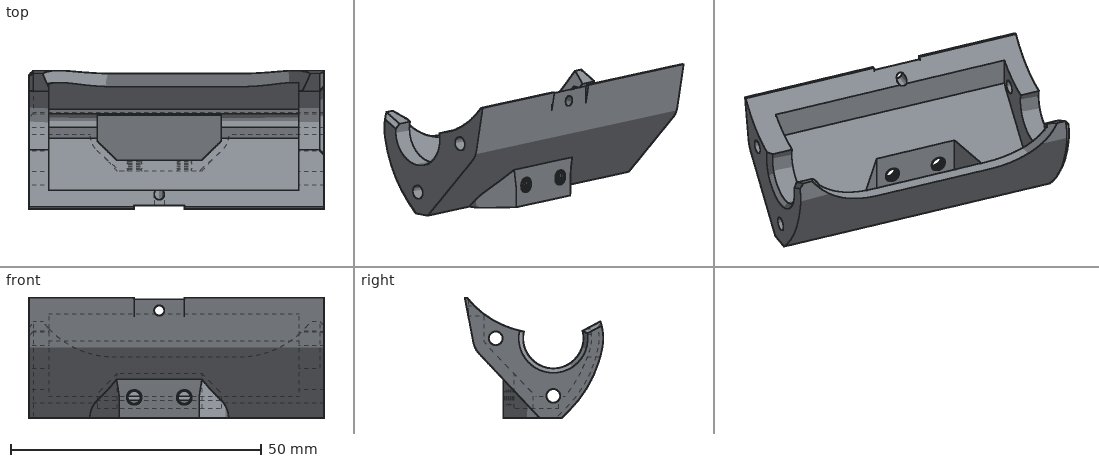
import cadquery as cq
import math


LENGTH = 59.0
HALF_LENGTH = LENGTH / 2
BOTTOM_Z = -15.95
TOP_Z = BOTTOM_Z + 24.08
BORE_RADIUS = 6.0
END_CHAMFER = 0.9
MARGIN = 1.0

BACK_UPPER_RADIUS = 10.0
BACK_LOWER_RADIUS = 24.0
BACK_TOP_ANGLE = 19.8
BACK_JOINT_ANGLE = -10.4
BACK_KNEE_ANGLE = -45.0
BACK_WALL = 2.4
BOTTOM_FRONT = (-2.7, BOTTOM_Z)
FRONT_KNEE = (-15.75, -2.1)
FRONT_KNEE_RADIUS = 4.5
FRONT_TIP = (-17.71, TOP_Z)
SADDLE_START = (-17.25, TOP_Z)
SADDLE_MID = (-12.3, 3.8)
SADDLE_END = (-5.8, 1.35)
BACK_TOP_INNER = (5.8, 1.47)

LEFT_WALL = 4.0
RIGHT_WALL = 5.1
FLOOR_Z = -11.6
FLOOR_FRONT_Y = -3.5
FLOOR_BACK_Y = 2.3
CAVITY_BACK_JOINT_ANGLE = -17.0
CAVITY_FRONT_KNEE = (-13.2, -1.5)
CAVITY_FRONT_WALL = (-13.94, -0.5)
CAVITY_TOP_Z = 6.0

RIM_Z = -3.7
RIM_FLAT_LENGTH = 25.0
RIM_END_X = 26.75
RIM_CUT_START_Y = 3.0

ROD_HOLE_DIAMETER = 2.7
ROD_HOLE_OFFSET = 11.5

FITTING_X = -3.45
BLOCK_FRONT_Y = -10.0
BLOCK_SPLIT_Z = -11.85
BLOCK_TOP_Z = -8.0
BLOCK_BACK_HALF = 13.85
BLOCK_ROUND_START_Y = -3.1
BLOCK_ROUND_MID = (13.45, -4.6)
BLOCK_SHOULDER = (12.5, -5.95)
BLOCK_FRONT_HALF = 7.95
BLOCK_FRONT_HALF_TOP = 8.55

POCKET_HALF = 12.4
POCKET_FRONT_HALF = 8.5
POCKET_BACK_Y = 1.02
POCKET_SHOULDER_Y = -4.1
POCKET_FRONT_Y = -7.9
POCKET_FLOOR_Z = -14.0
POCKET_TOP_Z = -6.5

SCREW_SPACING = 10.0
SCREW_Z = -11.8
SCREW_MINOR_DIAMETER = 2.52
SCREW_MAJOR_DIAMETER = 3.0
SCREW_PITCH = 0.5
SCREW_TURNS = 4

NOTCH_WIDTH = 10.0
NOTCH_FACE_Y = -17.0
NOTCH_BOTTOM_Z = 4.0
PIN_DIAMETER = 2.0
PIN_Z = 5.55
PIN_LENGTH = 6.0


def polar(radius, angle, centre=(0, 0)):
    """Point at a radius and an angle in degrees around a centre."""
    turn = math.radians(angle)
    return (centre[0] + radius * math.cos(turn), centre[1] + radius * math.sin(turn))


BACK_LOWER_CENTRE = polar(BACK_UPPER_RADIUS - BACK_LOWER_RADIUS, BACK_JOINT_ANGLE)
BACK_TOP = polar(BACK_UPPER_RADIUS, BACK_TOP_ANGLE)
BACK_UPPER_MID = polar(BACK_UPPER_RADIUS, (BACK_TOP_ANGLE + BACK_JOINT_ANGLE) / 2)
BACK_JOINT = polar(BACK_UPPER_RADIUS, BACK_JOINT_ANGLE)
BACK_KNEE = polar(BACK_LOWER_RADIUS, BACK_KNEE_ANGLE, BACK_LOWER_CENTRE)
BOTTOM_BACK = (BACK_KNEE[0] - (BACK_KNEE[1] - BOTTOM_Z), BOTTOM_Z)


def extrude_section(section, x_start, x_end):
    """Extrude a closed (y, z) section along X."""
    return section.close().extrude(x_end - x_start).translate((x_start, 0, 0))


def rod(y, z, diameter):
    """Full-length cylinder parallel to X."""
    return cq.Workplane("YZ").center(y, z).circle(diameter / 2).extrude(HALF_LENGTH + MARGIN, both=True)


def make_body():
    section = (
        cq.Workplane("YZ")
        .moveTo(*BACK_TOP)
        .threePointArc(BACK_UPPER_MID, BACK_JOINT)
        .tangentArcPoint(BACK_KNEE, relative=False)
        .lineTo(*BOTTOM_BACK)
        .lineTo(*BOTTOM_FRONT)
        .lineTo(*FRONT_KNEE)
        .lineTo(*FRONT_TIP)
        .lineTo(*SADDLE_START)
        .threePointArc(SADDLE_MID, SADDLE_END)
        .lineTo(*BACK_TOP_INNER)
    )
    body = extrude_section(section, -HALF_LENGTH, HALF_LENGTH)
    knee_edge = cq.selectors.NearestToPointSelector((0, *FRONT_KNEE))
    body = body.edges(knee_edge).fillet(FRONT_KNEE_RADIUS)
    return body.cut(rod(0, 0, 2 * BORE_RADIUS))


def chamfer_ends(body):
    back_outline = cq.selectors.BoxSelector(
        (-HALF_LENGTH - MARGIN, BOTTOM_BACK[0] + MARGIN, BOTTOM_Z),
        (-HALF_LENGTH + MARGIN, BACK_TOP[0] + MARGIN, TOP_Z),
    )
    bore_and_wall_top = cq.selectors.BoxSelector(
        (HALF_LENGTH - MARGIN, -MARGIN, -BORE_RADIUS),
        (HALF_LENGTH + MARGIN, BACK_TOP[0], BACK_TOP[1]),
    )
    body = body.faces("<X").edges(back_outline).chamfer(END_CHAMFER)
    return body.faces(">X").edges(bore_and_wall_top).chamfer(END_CHAMFER)


def make_cavity():
    back_radius = BACK_UPPER_RADIUS - BACK_WALL
    back_mid_angle = (BACK_TOP_ANGLE + CAVITY_BACK_JOINT_ANGLE) / 2
    section = (
        cq.Workplane("YZ")
        .moveTo(*polar(back_radius, BACK_TOP_ANGLE))
        .threePointArc(polar(back_radius, back_mid_angle), polar(back_radius, CAVITY_BACK_JOINT_ANGLE))
        .tangentArcPoint((FLOOR_BACK_Y, FLOOR_Z), relative=False)
        .lineTo(FLOOR_FRONT_Y, FLOOR_Z)
        .lineTo(*CAVITY_FRONT_KNEE)
        .lineTo(*CAVITY_FRONT_WALL)
        .lineTo(CAVITY_FRONT_WALL[0], CAVITY_TOP_Z)
        .lineTo(BACK_TOP_INNER[0], CAVITY_TOP_Z)
        .lineTo(*BACK_TOP_INNER)
    )
    return extrude_section(section, -HALF_LENGTH + LEFT_WALL, HALF_LENGTH - RIGHT_WALL)


def make_rim_cut():
    """Space above the lowered rim: a flat stretch curving up tangentially to both ends."""
    flat_half = RIM_FLAT_LENGTH / 2
    depth = BACK_TOP[1] - RIM_Z
    outline = (
        cq.Workplane("XZ")
        .moveTo(-flat_half, RIM_Z)
        .lineTo(flat_half, RIM_Z)
        .tangentArcPoint((RIM_END_X, BACK_TOP[1]), relative=False)
        .lineTo(RIM_END_X, BACK_TOP[1] + depth)
        .lineTo(-RIM_END_X, BACK_TOP[1] + depth)
        .lineTo(-RIM_END_X, BACK_TOP[1])
    )
    run = RIM_END_X - flat_half
    radius = (run**2 + depth**2) / (2 * depth)
    return (
        outline.radiusArc((-flat_half, RIM_Z), -radius)
        .close()
        .extrude(-BACK_UPPER_RADIUS)
        .translate((0, RIM_CUT_START_Y, 0))
    )


def block_outline(workplane, front_half):
    """Plan of the screw block, with rounded sides and slanted front corners."""
    shoulder_x, shoulder_y = BLOCK_SHOULDER
    round_x, round_y = BLOCK_ROUND_MID
    return (
        workplane.moveTo(-BLOCK_BACK_HALF, 0)
        .lineTo(-BLOCK_BACK_HALF, BLOCK_ROUND_START_Y)
        .threePointArc((-round_x, round_y), (-shoulder_x, shoulder_y))
        .lineTo(-front_half, BLOCK_FRONT_Y)
        .lineTo(front_half, BLOCK_FRONT_Y)
        .lineTo(shoulder_x, shoulder_y)
        .threePointArc((round_x, round_y), (BLOCK_BACK_HALF, BLOCK_ROUND_START_Y))
        .lineTo(BLOCK_BACK_HALF, 0)
        .close()
    )


def make_block():
    lower = block_outline(cq.Workplane("XY", origin=(FITTING_X, 0, BOTTOM_Z)), BLOCK_FRONT_HALF)
    lower = lower.extrude(BLOCK_SPLIT_Z - BOTTOM_Z)
    upper = block_outline(cq.Workplane("XY", origin=(FITTING_X, 0, BLOCK_SPLIT_Z)), BLOCK_FRONT_HALF)
    upper = upper.workplane(offset=BLOCK_TOP_Z - BLOCK_SPLIT_Z)
    upper = block_outline(upper, BLOCK_FRONT_HALF_TOP).loft(ruled=True)
    return lower.union(upper)


def make_pocket():
    return (
        cq.Workplane("XY", origin=(FITTING_X, 0, POCKET_FLOOR_Z))
        .moveTo(-POCKET_HALF, POCKET_BACK_Y)
        .lineTo(-POCKET_HALF, POCKET_SHOULDER_Y)
        .lineTo(-POCKET_FRONT_HALF, POCKET_FRONT_Y)
        .lineTo(POCKET_FRONT_HALF, POCKET_FRONT_Y)
        .lineTo(POCKET_HALF, POCKET_SHOULDER_Y)
        .lineTo(POCKET_HALF, POCKET_BACK_Y)
        .close()
        .extrude(POCKET_TOP_Z - POCKET_FLOOR_Z)
    )


def make_screw_hole(x):
    """Tapped hole along +Y, its thread modelled as a row of V grooves."""
    minor = SCREW_MINOR_DIAMETER / 2
    major = SCREW_MAJOR_DIAMETER / 2
    half_profile = cq.Workplane("XY").moveTo(0, 0).lineTo(major, 0)
    for turn in range(SCREW_TURNS):
        start = turn * SCREW_PITCH
        half_profile = half_profile.lineTo(minor, start + SCREW_PITCH / 2).lineTo(major, start + SCREW_PITCH)
    hole_end = (SCREW_TURNS + 0.5) * SCREW_PITCH
    half_profile = half_profile.lineTo(minor, hole_end).lineTo(0, hole_end).close()
    hole = half_profile.revolve(360, (0, 0, 0), (0, 1, 0))
    return hole.translate((x, BLOCK_FRONT_Y, SCREW_Z))


def make_notch():
    depth = NOTCH_FACE_Y - FRONT_TIP[0] + MARGIN
    height = TOP_Z - NOTCH_BOTTOM_Z + MARGIN
    return (
        cq.Workplane("XY")
        .box(NOTCH_WIDTH, depth, height, centered=(True, False, False))
        .translate((FITTING_X, NOTCH_FACE_Y - depth, NOTCH_BOTTOM_Z))
    )


def make_pin_hole():
    return (
        cq.Workplane("XZ", origin=(FITTING_X, NOTCH_FACE_Y - MARGIN, PIN_Z))
        .circle(PIN_DIAMETER / 2)
        .extrude(-PIN_LENGTH)
    )


result = chamfer_ends(make_body())
result = result.union(make_block())
result = result.cut(make_cavity()).cut(make_rim_cut()).cut(make_pocket())
for hole_y, hole_z in ((0, -ROD_HOLE_OFFSET), (-ROD_HOLE_OFFSET, 0)):
    result = result.cut(rod(hole_y, hole_z, ROD_HOLE_DIAMETER))
for side in (-1, 1):
    result = result.cut(make_screw_hole(FITTING_X + side * SCREW_SPACING / 2))
result = result.cut(make_notch()).cut(make_pin_hole())